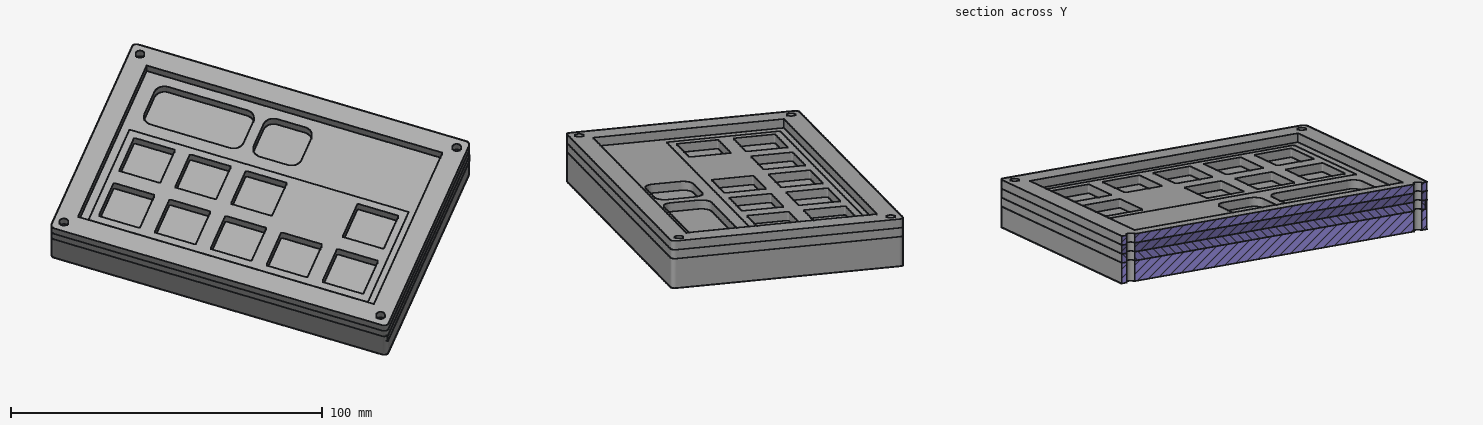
import cadquery as cq

case_length = 115.0
case_width = 78.0
corner_radius = 1.5
base_height = 10.0
layer_thickness = 3.0
plate_bottom = base_height
bezel_bottom = plate_bottom + layer_thickness

board_wall = 0.8
board_length = case_length - board_wall
board_width = case_width - 2 * board_wall
board_x = board_wall / 2
board_bottom = base_height - layer_thickness

screw_diameter = 2.9
screw_inset = 3.5

window_length = 101.0
window_width = 64.0

key_columns = 5
key_rows = 2
key_plate_length = 95.3
key_pitch = key_plate_length / key_columns
key_plate_width = key_rows * key_pitch
key_plate_front_inset = 9.1
key_plate_y = -case_width / 2 + key_plate_front_inset + key_plate_width / 2
switch_size = 14.0
switch_corner_radius = 0.5
blank_cell = (3, 1)

opening_width = 16.0
opening_corner_radius = 3.5
opening_y = 20.5
display_length = 33.8
display_x = -28.4
dial_length = 16.3
dial_x = 0.1


def screw_holes():
    """Four cylinders running through the whole stack."""
    return (
        cq.Workplane("XY")
        .rect(case_length - 2 * screw_inset, case_width - 2 * screw_inset, forConstruction=True)
        .vertices()
        .circle(screw_diameter / 2)
        .extrude(bezel_bottom + layer_thickness)
    )


def layer(bottom, height):
    """Rounded rectangular slab with the four screw holes."""
    slab = (
        cq.Workplane("XY", origin=(0, 0, bottom))
        .rect(case_length, case_width)
        .extrude(height)
        .edges("|Z")
        .fillet(corner_radius)
    )
    return slab.cut(screw_holes())


def block(x, y, bottom, length, width):
    """Sharp-cornered block, one layer thick."""
    return cq.Workplane("XY", origin=(x, y, bottom)).rect(length, width).extrude(layer_thickness)


def rounded_block(x, y, bottom, length, width, radius):
    """Block with rounded vertical edges, one layer thick."""
    return block(x, y, bottom, length, width).edges("|Z").fillet(radius)


def board_blank():
    return block(board_x, 0, board_bottom, board_length, board_width)


def make_base():
    return layer(0, base_height).cut(board_blank())


def make_board():
    return board_blank().cut(screw_holes())


def make_bezel():
    return layer(bezel_bottom, layer_thickness).cut(
        block(0, 0, bezel_bottom, window_length, window_width)
    )


def make_mid_plate():
    plate = layer(plate_bottom, layer_thickness)
    plate = plate.cut(block(0, key_plate_y, plate_bottom, key_plate_length, key_plate_width))
    for x, length in ((display_x, display_length), (dial_x, dial_length)):
        plate = plate.cut(
            rounded_block(x, opening_y, plate_bottom, length, opening_width, opening_corner_radius)
        )
    return plate


def make_key_plate():
    plate = block(0, key_plate_y, plate_bottom, key_plate_length, key_plate_width)
    for column in range(key_columns):
        for row in range(key_rows):
            if (column, row) == blank_cell:
                continue
            x = (column - (key_columns - 1) / 2) * key_pitch
            y = key_plate_y + (row - (key_rows - 1) / 2) * key_pitch
            plate = plate.cut(
                rounded_block(x, y, plate_bottom, switch_size, switch_size, switch_corner_radius)
            )
    return plate


base = make_base()
board = make_board()
mid_plate = make_mid_plate()
key_plate = make_key_plate()
bezel = make_bezel()

result = cq.Compound.makeCompound(
    [base.val(), board.val(), mid_plate.val(), key_plate.val(), bezel.val()]
)